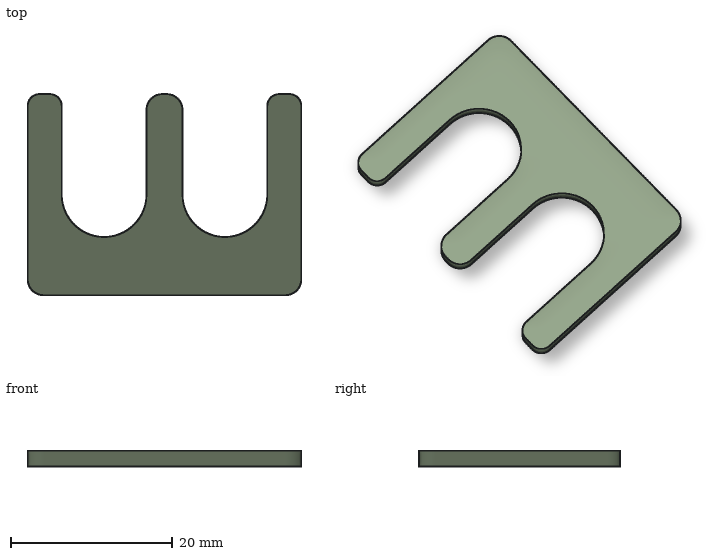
import cadquery as cq

width = 34.0
depth = 25.0
thickness = 2.0
base_corner_radius = 2.0

slot_width = 10.5
slot_pitch = 15.0
web_depth = 7.25

outer_tip_radius = 1.5
middle_tip_radius = 2.0

slot_radius = slot_width / 2
slot_end_center_y = -depth / 2 + web_depth + slot_radius
slot_centers_x = (-slot_pitch / 2, slot_pitch / 2)
slots_outer_side_x = slot_pitch / 2 + slot_radius
slots_inner_side_x = slot_pitch / 2 - slot_radius
outer_tip_corners_x = (-width / 2, -slots_outer_side_x, slots_outer_side_x, width / 2)
middle_tip_corners_x = (-slots_inner_side_x, slots_inner_side_x)


def make_plate():
    """Rectangular plate centred in X and Y, resting on Z = 0."""
    plate = cq.Workplane("XY").box(width, depth, thickness, centered=(True, True, False))
    return plate.edges("|Z and <Y").fillet(base_corner_radius)


def make_slot(center_x):
    """Cutter for one slot: a half-round end opening straight out through the +Y edge."""
    left = center_x - slot_radius
    right = center_x + slot_radius
    return (
        cq.Workplane("XY")
        .moveTo(left, depth / 2)
        .lineTo(left, slot_end_center_y)
        .threePointArc((center_x, slot_end_center_y - slot_radius), (right, slot_end_center_y))
        .lineTo(right, depth / 2)
        .close()
        .extrude(thickness)
    )


def round_tip_corners(body, corners_x, radius):
    """Round the vertical edges at the free ends of the prongs that lie at the given X places."""
    for corner_x in corners_x:
        corner = (corner_x, depth / 2, thickness / 2)
        body = body.edges(cq.selectors.NearestToPointSelector(corner)).fillet(radius)
    return body


result = make_plate()
for slot_center_x in slot_centers_x:
    result = result.cut(make_slot(slot_center_x))
result = round_tip_corners(result, outer_tip_corners_x, outer_tip_radius)
result = round_tip_corners(result, middle_tip_corners_x, middle_tip_radius)